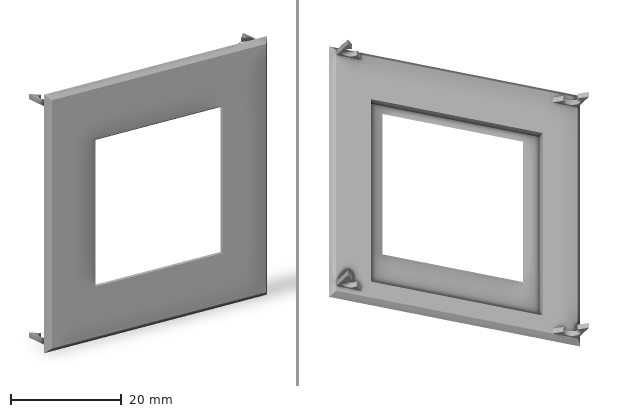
import cadquery as cq

plate_side = 50.0
plate_thickness = 2.0
edge_bevel = plate_thickness / 2
face_side = plate_side - 2 * edge_bevel

window_side = 28.0

recess_width = 34.2
recess_top = 15.6
recess_bottom = -20.8
recess_depth = 1.75

clip_leg = 5.0
clip_thickness = 0.95
seat_radius = 1.55
seat_offset = 1.95

plate_back = clip_leg
face_half = face_side / 2


def make_bezel():
    """Plate with bevelled edges, a window and a recess in its back."""
    back_half = square_taper(plate_back, edge_bevel, face_side, plate_side)
    front_half = square_taper(plate_back + edge_bevel, edge_bevel, plate_side, face_side)
    plate = back_half.union(front_half)
    web = plate_thickness - recess_depth
    window = square_taper(plate_back + recess_depth, web, window_side, window_side + 2 * web)
    recess = (
        cq.Workplane("YZ", origin=(plate_back, 0, (recess_top + recess_bottom) / 2))
        .rect(recess_width, recess_top - recess_bottom)
        .extrude(recess_depth)
    )
    return plate.cut(window).cut(recess)


def square_taper(start_x, length, start_side, end_side):
    """Block along X whose square outline changes evenly from one end to the other."""
    return (
        cq.Workplane("YZ", origin=(start_x, 0, 0))
        .rect(start_side, start_side)
        .workplane(offset=length)
        .rect(end_side, end_side)
        .loft(ruled=True)
    )


def make_clip(side, bottom):
    """Clip on the +Y (side = 1) or -Y (side = -1) edge, with its underside at the given height."""
    corner_y = side * face_half
    web = (
        cq.Workplane("XY", origin=(0, 0, bottom))
        .moveTo(plate_back, corner_y)
        .lineTo(plate_back - clip_leg, corner_y)
        .lineTo(plate_back, corner_y - side * clip_leg)
        .close()
        .extrude(clip_thickness)
    )
    seat = (
        cq.Workplane("XY", origin=(0, 0, bottom))
        .center(plate_back - seat_offset, corner_y - side * seat_offset)
        .circle(seat_radius)
        .extrude(clip_thickness)
    )
    return web.cut(seat)


bezel = make_bezel()

clips = []
for side in (1, -1):
    flush_middle = side * (face_half - clip_thickness / 2)
    inset_middle = -side * (face_half - 3 * clip_thickness / 2)
    for middle in (flush_middle, inset_middle):
        clips.append(make_clip(side, middle - clip_thickness / 2))

result = cq.Compound.makeCompound([bezel.val(), *[clip.val() for clip in clips]])